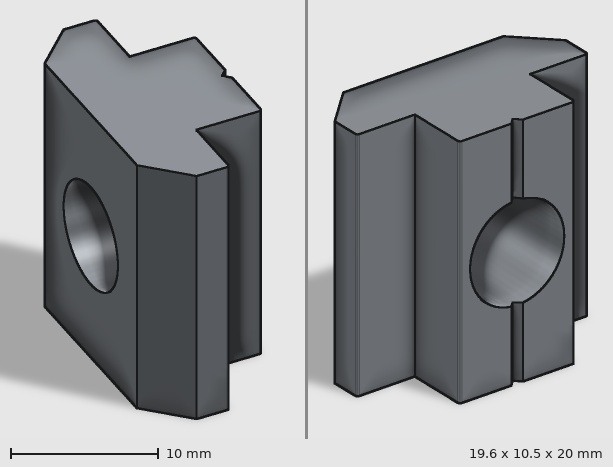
import cadquery as cq

length = 20.0
base_width = 19.6
total_height = 10.5
neck_width = 9.8
neck_height = 5.0
chamfer_size = 3.0
edge_radius = 0.2
groove_width = 1.0
groove_depth = 0.5
hole_diameter = 8.0

half_base = base_width / 2
half_neck = neck_width / 2
half_groove = groove_width / 2
wing_top = total_height - neck_height


def make_body():
    """Extrude the T profile and round its outer corners."""
    right_half = [
        (half_base - chamfer_size, 0),
        (half_base, chamfer_size),
        (half_base, wing_top),
        (half_neck, wing_top),
        (half_neck, total_height),
    ]
    left_half = [(-x, y) for x, y in reversed(right_half)]
    body = cq.Workplane("XY").polyline(right_half + left_half).close().extrude(length / 2, both=True)

    rounded_corners = [(half_base, wing_top), (half_neck, total_height)]
    for x, y in rounded_corners:
        for side in (-1, 1):
            nearest_edge = cq.selectors.NearestToPointSelector((side * x, y, 0))
            body = body.edges("|Z").edges(nearest_edge).fillet(edge_radius)
    return body


def make_groove():
    """V-shaped marking groove along the middle of the neck face."""
    return (
        cq.Workplane("XY")
        .moveTo(-half_groove, total_height)
        .lineTo(0, total_height - groove_depth)
        .lineTo(half_groove, total_height)
        .close()
        .extrude(length / 2, both=True)
    )


def make_hole():
    """Plain through hole along Y, centred on the part."""
    return cq.Workplane("XZ").circle(hole_diameter / 2).extrude(-total_height)


result = make_body().cut(make_groove()).cut(make_hole())